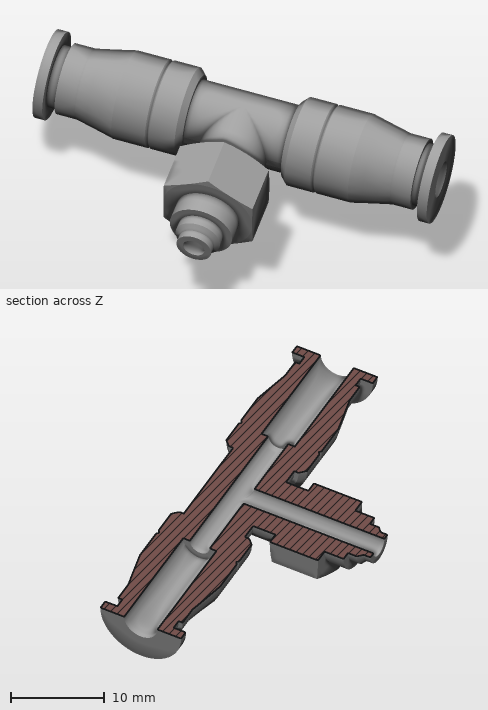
import cadquery as cq
import math

length = 44.4
half_length = length / 2
flange_radius = 9.8 / 2
neck_radius = 6.9 / 2
collar_radius = 7.85 / 2
body_radius = flange_radius
stem_radius = 7.5 / 2

flange_inner = half_length - 1.1
neck_inner = half_length - 2.18
collar_inner = half_length - 4.45
taper_inner = half_length - 8.9
body_inner = 5.55
body_chamfer = 0.65
groove_centre = 9.32
groove_half_width = 0.2
groove_depth = 0.2

tube_bore_diameter = 4.0
tube_bore_depth = 13.3
through_diameter = 2.4

flat_width = 0.95
flat_offset = math.sqrt(stem_radius**2 - (flat_width / 2) ** 2)

hex_start = 6.4
hex_end = 12.25
shoulder_end = 14.55
nose_taper_start = 15.65
nose_taper_end = 16.15
branch_length = 21.9 - body_radius
hex_flats = 10.0
hex_corner_radius = hex_flats / math.sqrt(3)
hex_back_chamfer = 0.25
hex_front_chamfer = 0.15
shoulder_radius = 7.0 / 2
nose_radius = 5.0 / 2
tip_radius = 3.9 / 2


def make_socket():
    """Revolve the right-hand tube socket about the X axis."""
    return (
        cq.Workplane("XY")
        .moveTo(0, 0)
        .lineTo(0, stem_radius)
        .lineTo(body_inner, stem_radius)
        .lineTo(body_inner, body_radius - body_chamfer)
        .lineTo(body_inner + body_chamfer, body_radius)
        .lineTo(groove_centre - groove_half_width, body_radius)
        .lineTo(groove_centre, body_radius - groove_depth)
        .lineTo(groove_centre + groove_half_width, body_radius)
        .lineTo(taper_inner, body_radius)
        .lineTo(collar_inner, collar_radius)
        .lineTo(neck_inner, collar_radius)
        .lineTo(neck_inner, neck_radius)
        .lineTo(flange_inner, neck_radius)
        .lineTo(flange_inner, flange_radius)
        .lineTo(half_length, flange_radius)
        .lineTo(half_length, 0)
        .close()
        .revolve(360, (0, 0, 0), (1, 0, 0))
    )


def make_run():
    """Mirror the socket and cut the two flats into the stem."""
    socket = make_socket()
    run = socket.union(socket.mirror("YZ"))
    flat_depth = stem_radius - flat_offset
    for side in (-1, 1):
        cutter = cq.Workplane("XY").box(2 * body_inner, flat_depth, flat_width)
        run = run.cut(cutter.translate((0, side * (flat_offset + flat_depth / 2), 0)))
    return run


def branch_cylinder(radius, start, end):
    """Cylinder on the branch axis between two distances from the run axis."""
    return cq.Workplane("XZ", origin=(0, -start, 0)).circle(radius).extrude(end - start)


def make_hex():
    """Hexagon with corners at +Z and -Z and its corners chamfered at both ends."""
    prism = (
        cq.Workplane("XZ", origin=(0, -hex_start, 0))
        .transformed(rotate=(0, 0, 90))
        .polygon(6, 2 * hex_corner_radius)
        .extrude(hex_end - hex_start)
    )
    face_radius = hex_flats / 2
    envelope = (
        cq.Workplane("XY")
        .moveTo(0, -hex_start)
        .lineTo(face_radius, -hex_start)
        .lineTo(hex_corner_radius, -hex_start - hex_back_chamfer)
        .lineTo(hex_corner_radius, -hex_end + hex_front_chamfer)
        .lineTo(face_radius, -hex_end)
        .lineTo(0, -hex_end)
        .close()
        .revolve(360, (0, 0, 0), (0, 1, 0))
    )
    return prism.intersect(envelope)


def make_nose():
    """Stepped nose with a conical reduction to the tip."""
    return (
        cq.Workplane("XY")
        .moveTo(0, -shoulder_end)
        .lineTo(nose_radius, -shoulder_end)
        .lineTo(nose_radius, -nose_taper_start)
        .lineTo(tip_radius, -nose_taper_end)
        .lineTo(tip_radius, -branch_length)
        .lineTo(0, -branch_length)
        .close()
        .revolve(360, (0, 0, 0), (0, 1, 0))
    )


tee = make_run()
tee = tee.union(branch_cylinder(stem_radius, 0, hex_start))
tee = tee.union(make_hex())
tee = tee.union(branch_cylinder(shoulder_radius, hex_end, shoulder_end))
tee = tee.union(make_nose())

through_bore = cq.Workplane("YZ").circle(through_diameter / 2).extrude(half_length, both=True)
tee = tee.cut(through_bore)
tee = tee.cut(branch_cylinder(through_diameter / 2, 0, branch_length))
tube_bore = (
    cq.Workplane("YZ", origin=(half_length, 0, 0))
    .circle(tube_bore_diameter / 2)
    .extrude(-tube_bore_depth)
)
result = tee.cut(tube_bore).cut(tube_bore.mirror("YZ"))